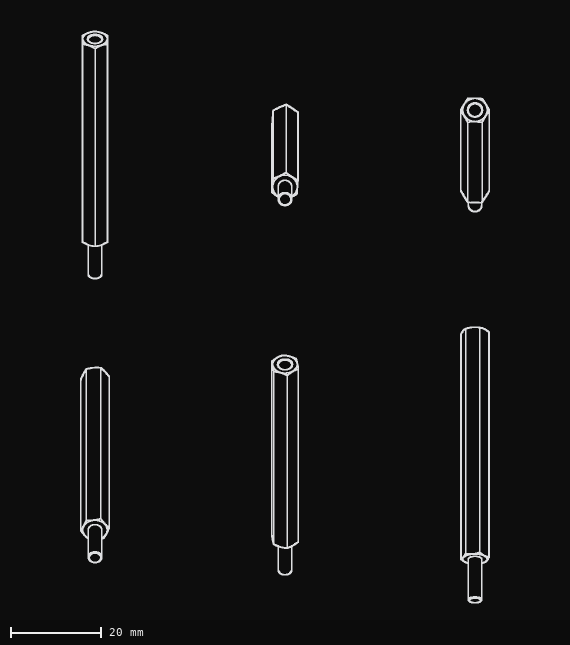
import cadquery as cq
import math

total_length = 65.0
stud_length = 10.0
across_flats = 5.5
end_face_diameter = 5.4
thread_diameter = 3.0
stud_chamfer = 0.2
hole_depth = 10.0
drill_point_angle = 118.0
mouth_chamfer = 0.16
corner_chamfer_angle = 30.0

across_corners = across_flats / math.cos(math.radians(30))
body_length = total_length - stud_length
thread_radius = thread_diameter / 2
end_face_radius = end_face_diameter / 2
corner_radius = across_corners / 2
corner_drop = (corner_radius - end_face_radius) * math.tan(math.radians(corner_chamfer_angle))
drill_point_depth = thread_radius / math.tan(math.radians(drill_point_angle / 2))


def revolve_profile(points):
    """Revolve a closed (radius, height) outline about the Z axis."""
    return cq.Workplane("XZ").polyline(points).close().revolve(360, (0, 0), (0, 1))


def hex_body():
    """Hexagon with corners on the X axis,
    both ends turned down by a shallow cone."""
    prism = cq.Workplane("XY").polygon(6, across_corners).extrude(body_length)
    envelope = revolve_profile([
        (0, 0),
        (end_face_radius, 0),
        (corner_radius, corner_drop),
        (corner_radius, body_length - corner_drop),
        (end_face_radius, body_length),
        (0, body_length),
    ])
    return prism.intersect(envelope)


def stud():
    """Threaded end, modelled as a plain pin with a chamfered tip."""
    pin = cq.Workplane("XY").circle(thread_radius).extrude(-stud_length)
    return pin.faces("<Z").chamfer(stud_chamfer)


def tapped_hole():
    """Blind hole from the top with a chamfered mouth and a conical drill point."""
    hole_bottom = body_length - hole_depth
    return revolve_profile([
        (0, hole_bottom - drill_point_depth),
        (thread_radius, hole_bottom),
        (thread_radius, body_length - mouth_chamfer),
        (thread_radius + mouth_chamfer, body_length),
        (0, body_length),
    ])


standoff = hex_body().union(stud()).cut(tapped_hole())

result = standoff.translate((0, 0, stud_length - total_length / 2))